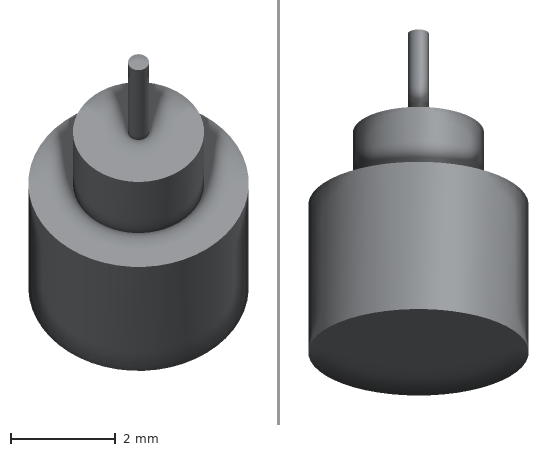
import cadquery as cq

body_diameter = 4.2
body_height = 3.05
collar_diameter = 2.5
collar_height = 1.5
insulator_diameter = 1.95
pin_diameter = 0.4
total_height = 6.6

collar_top = body_height + collar_height


def cylinder(diameter, bottom, top):
    """Solid cylinder on the Z axis between two levels."""
    return cq.Workplane("XY").workplane(offset=bottom).circle(diameter / 2).extrude(top - bottom)


def collar_sleeve():
    """Ring around the insulator, standing on the body."""
    outer = cylinder(collar_diameter, body_height, collar_top)
    return outer.cut(cylinder(insulator_diameter, body_height, collar_top))


body = cylinder(body_diameter, 0, body_height)
insulator = cylinder(insulator_diameter, body_height, collar_top)
pin = cylinder(pin_diameter, collar_top, total_height)

result = body
for section in (collar_sleeve(), insulator, pin):
    result = result.union(section, clean=False)